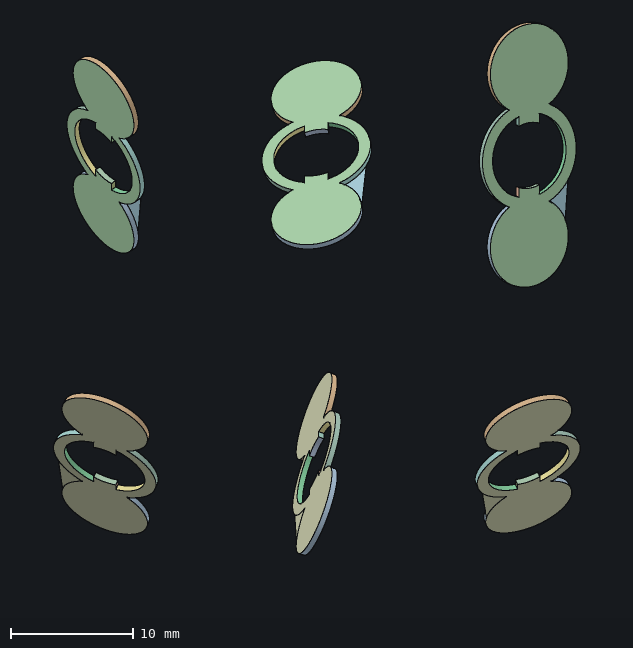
import cadquery as cq

thickness = 0.5
overall_length = 22.23
back_y = thickness / 2

ring_outer_diameter = 9.07
ring_wall = 1.0
ring_bore_diameter = ring_outer_diameter - 2 * ring_wall

disc_front_diameter = 7.54
disc_back_diameter = 7.58
disc_offset = (overall_length - disc_back_diameter) / 2

tab_width = 1.97
tab_tip_diameter = 5.52

web_thickness = 0.02
web_ring_corner = (4.09, -1.95)
web_disc_corner = (3.74, -6.4)
web_root_corner = (1.0, -4.2)


def back_plane():
    """Workplane on the back face; extrusions run towards the front, -Y."""
    return cq.Workplane("XZ", origin=(0, back_y, 0))


def round_plate(diameter):
    return back_plane().circle(diameter / 2).extrude(thickness)


def drafted_disc(center_z):
    """Disc whose rim narrows from the back face to the front face."""
    return (
        back_plane()
        .center(0, center_z)
        .circle(disc_back_diameter / 2)
        .workplane(offset=thickness)
        .circle(disc_front_diameter / 2)
        .loft()
    )


def tabs():
    """Upper and lower tabs with concave tips concentric with the ring."""
    bar = back_plane().rect(tab_width, 2 * disc_offset).extrude(thickness)
    return bar.cut(round_plate(tab_tip_diameter))


def web():
    corners = [web_ring_corner, web_disc_corner, web_root_corner]
    return back_plane().polyline(corners).close().extrude(web_thickness)


body = round_plate(ring_outer_diameter)
for side in (1, -1):
    body = body.union(drafted_disc(side * disc_offset))
body = body.union(web())
body = body.cut(round_plate(ring_bore_diameter))
result = body.union(tabs())